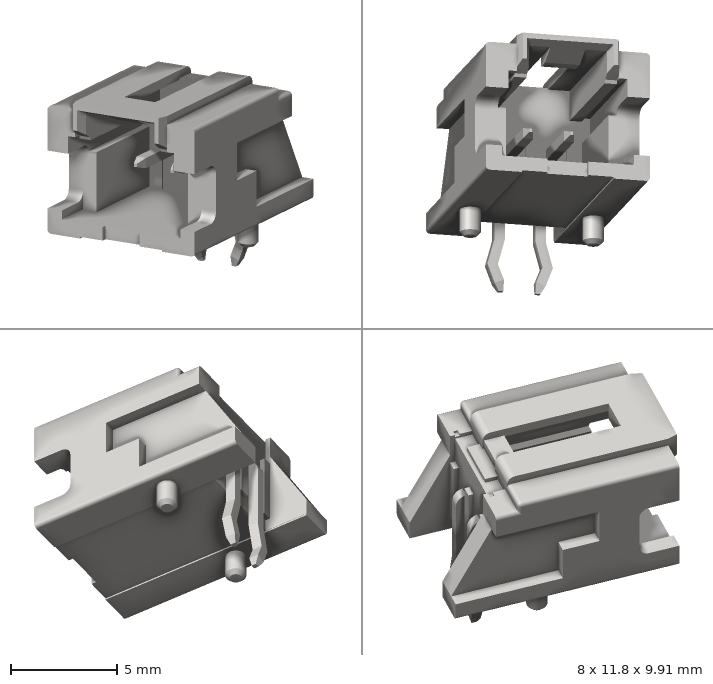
import cadquery as cq
import math


HALF_WIDTH = 4.001
LENGTH = 11.75
BODY_FRONT = 0.49
BODY_TOP = 6.7
WING_TOP = 6.27
DECK_TOP = 5.79
HOOD_REAR = 8.6
SIDE_REAR = 9.72
REAR_WALL_BACK = 9.46
SLOPE_TOP = 4.6
LEDGE_TOP = 0.99
EDGE_RADIUS = 0.2
LEG_INNER = 2.22

RECESS_DEPTH = 0.61
RECESS_LOW_FRONT = 6.36
RECESS_HIGH_FRONT = 4.51
RECESS_STEP = 2.75
NOTCH_REAR = 2.51
NOTCH_BOTTOM = 1.23
NOTCH_TOP = 4.07
NOTCH_RADIUS = 0.49
RELIEF_HALF_WIDTH = 2.23
RELIEF_HEIGHT = 0.08

HOOD_HALF_WIDTH = 2.49
LIP_HALF_WIDTH = 2.33
HOOD_REAR_RADIUS = 0.4
JAMB_FRONT_BOTTOM = 5.43
JAMB_BOTTOM = 4.94
JAMB_SLOPE_LENGTH = 0.86
JAMB_RAIL_HEIGHT = 0.16
JAMB_RAIL_LEAD = 0.065
CAVITY_BACK = 7.51
CAVITY_FLOOR = 0.74
CAVITY_CEILING = 6.23
UPPER_HALF_WIDTH = 1.9
GROOVE_HALF_WIDTH = 2.89
GROOVE_BOTTOM = 3.69
FRONT_FLOOR_HALF_WIDTH = 3.22
FLOOR_CORNER_RADIUS = 0.09
MOUTH_CHAMFER = 0.21
MOUTH_DEPTH = BODY_FRONT
FLOOR_NOTCH_HALF_WIDTH = 1.0
FLOOR_NOTCH_DEPTH = 0.25

WINDOW_HALF_WIDTH = 0.85
WINDOW_FRONT = 2.27
CATCH_BOTTOM = 5.77
SLOT_FLOOR = 6.3
SLOT_REAR = 8.53

REAR_WALL_TOP = 5.57
STEP_HALF_WIDTH = 1.22
STEP_REAR = 9.24
DECK_SLOT_DEPTH = 0.12

RIB_TOP = 4.14
RIB_FRONT = 7.41
CENTER_RIB_HALF_WIDTH = 0.27
SIDE_RIB_INNER = 1.74
SIDE_RIB_OUTER = 2.23

PIN_PITCH = 2.0
PIN_SIZE = 0.5
PIN_HEIGHT = 3.0
PIN_SHOULDER = 4.15
PIN_TIP_LENGTH = 0.56
PIN_TIP_SIZE = 0.16
BEND_RADIUS = 0.59
TAIL_CENTER_Y = 9.72
TAIL_BOTTOM = -3.21
TAIL_STRAIGHT_END = -0.7
TAIL_KINK_Z = -1.94
TAIL_KINK_SHIFT = 0.34
TAIL_TIP_INNER = 0.79
TAIL_TIP_OUTER = 1.02
TAIL_TIP_CORNER = (1.25, -2.84)
TAIL_INNER_CORNER_Z = -2.68
TAIL_TIP_THICKNESS = 0.22
PEG_DIAMETER = 1.0
PEG_X = 3.0
PEG_Y = 7.3
PEG_LENGTH = 1.3
PEG_CHAMFER = 0.2


def block(x0, x1, y0, y1, z0, z1):
    return cq.Workplane("XY").box(x1 - x0, y1 - y0, z1 - z0, centered=False).translate((x0, y0, z0))


def centered_block(half_width, y0, y1, z0, z1):
    return block(-half_width, half_width, y0, y1, z0, z1)


def side_profile(points, x0, x1):
    """Prism along X from (y, z) points."""
    return cq.Workplane("YZ").polyline(points).close().extrude(x1 - x0).translate((x0, 0, 0))


def both_sides(shape):
    return shape.union(shape.mirror("YZ"))


def make_shell():
    base = side_profile(
        [
            (BODY_FRONT, 0),
            (LENGTH, 0),
            (LENGTH, LEDGE_TOP),
            (SIDE_REAR, SLOPE_TOP),
            (BODY_FRONT, SLOPE_TOP),
        ],
        -HALF_WIDTH,
        HALF_WIDTH,
    )
    base = base.edges("|Y and <Z").fillet(EDGE_RADIUS)
    deck = centered_block(HALF_WIDTH, BODY_FRONT, SIDE_REAR, SLOPE_TOP, DECK_TOP)
    deck = deck.edges("|Y and >Z").fillet(EDGE_RADIUS)
    wings = centered_block(HALF_WIDTH, BODY_FRONT, HOOD_REAR, SLOPE_TOP, WING_TOP)
    wings = wings.edges("(|Y and >Z) or (>Y and >Z) or (>Y and |Z)").fillet(EDGE_RADIUS)
    return base.union(deck).union(wings)


def make_hood():
    hood = (
        cq.Workplane("XY")
        .polyline(
            [
                (-LIP_HALF_WIDTH, 0),
                (LIP_HALF_WIDTH, 0),
                (HOOD_HALF_WIDTH, BODY_FRONT),
                (HOOD_HALF_WIDTH, HOOD_REAR),
                (-HOOD_HALF_WIDTH, HOOD_REAR),
                (-HOOD_HALF_WIDTH, BODY_FRONT),
            ]
        )
        .close()
        .extrude(BODY_TOP - SLOPE_TOP)
        .translate((0, 0, SLOPE_TOP))
    )
    return hood.edges(">Y and >Z").fillet(HOOD_REAR_RADIUS)


def make_outer_cuts():
    recess = side_profile(
        [
            (LENGTH, LEDGE_TOP),
            (RECESS_LOW_FRONT, LEDGE_TOP),
            (RECESS_LOW_FRONT, RECESS_STEP),
            (RECESS_HIGH_FRONT, RECESS_STEP),
            (RECESS_HIGH_FRONT, SLOPE_TOP),
            (LENGTH, SLOPE_TOP),
        ],
        HALF_WIDTH - RECESS_DEPTH,
        HALF_WIDTH,
    )
    notch = centered_block(HALF_WIDTH, 0, NOTCH_REAR, NOTCH_BOTTOM, NOTCH_TOP)
    notch = notch.edges("|X and >Y").fillet(NOTCH_RADIUS)
    rear_gap = centered_block(LEG_INNER, REAR_WALL_BACK, LENGTH, 0, BODY_TOP)
    wall_step = centered_block(LEG_INNER, HOOD_REAR, REAR_WALL_BACK, REAR_WALL_TOP, BODY_TOP)
    slot_bottom = DECK_TOP - DECK_SLOT_DEPTH
    deck_slots = centered_block(HOOD_HALF_WIDTH, STEP_REAR, REAR_WALL_BACK, slot_bottom, DECK_TOP)
    wall_step = wall_step.cut(
        centered_block(STEP_HALF_WIDTH, HOOD_REAR, STEP_REAR, REAR_WALL_TOP, DECK_TOP)
    )
    relief = centered_block(RELIEF_HALF_WIDTH, BODY_FRONT, LENGTH, 0, RELIEF_HEIGHT)
    cuts = both_sides(recess)
    for tool in (notch, rear_gap, wall_step, deck_slots, relief):
        cuts = cuts.union(tool)
    return cuts


def make_cavity():
    upper = centered_block(UPPER_HALF_WIDTH, 0, CAVITY_BACK, JAMB_BOTTOM, CAVITY_CEILING)
    groove = centered_block(GROOVE_HALF_WIDTH, 0, CAVITY_BACK, GROOVE_BOTTOM, JAMB_BOTTOM)
    lower = centered_block(HOOD_HALF_WIDTH, 0, CAVITY_BACK, CAVITY_FLOOR, JAMB_BOTTOM)
    front_floor = centered_block(FRONT_FLOOR_HALF_WIDTH, 0, NOTCH_REAR, CAVITY_FLOOR, NOTCH_TOP / 2)
    front_floor = front_floor.edges("|Y and <Z").fillet(FLOOR_CORNER_RADIUS)
    jamb_slope = side_profile(
        [
            (0, GROOVE_BOTTOM),
            (0, JAMB_FRONT_BOTTOM),
            (JAMB_SLOPE_LENGTH, JAMB_BOTTOM),
            (JAMB_SLOPE_LENGTH, GROOVE_BOTTOM),
        ],
        -HOOD_HALF_WIDTH,
        HOOD_HALF_WIDTH,
    )
    lip_half_width = UPPER_HALF_WIDTH + MOUTH_CHAMFER
    mouth_sides = (
        cq.Workplane("XY")
        .polyline(
            [
                (-lip_half_width, 0),
                (lip_half_width, 0),
                (UPPER_HALF_WIDTH, MOUTH_DEPTH),
                (-UPPER_HALF_WIDTH, MOUTH_DEPTH),
            ]
        )
        .close()
        .extrude(BODY_TOP - GROOVE_BOTTOM)
        .translate((0, 0, GROOVE_BOTTOM))
    )
    mouth_roof = side_profile(
        [
            (0, GROOVE_BOTTOM),
            (0, CAVITY_CEILING + MOUTH_CHAMFER),
            (MOUTH_DEPTH, CAVITY_CEILING),
            (MOUTH_DEPTH, GROOVE_BOTTOM),
        ],
        -lip_half_width,
        lip_half_width,
    )
    cavity = upper.union(mouth_sides.intersect(mouth_roof))
    for tool in (groove, lower, front_floor, jamb_slope):
        cavity = cavity.union(tool)
    return cavity


def make_catch():
    """Latch catch under the roof; its ramp continues the slope of the mouth."""
    ramp_length = (CAVITY_CEILING - CATCH_BOTTOM) * MOUTH_DEPTH / MOUTH_CHAMFER
    return side_profile(
        [
            (MOUTH_DEPTH, CAVITY_CEILING),
            (MOUTH_DEPTH + ramp_length, CATCH_BOTTOM),
            (WINDOW_FRONT, CATCH_BOTTOM),
            (WINDOW_FRONT, CAVITY_CEILING),
        ],
        -WINDOW_HALF_WIDTH,
        WINDOW_HALF_WIDTH,
    )


def make_jamb_rail():
    return side_profile(
        [
            (JAMB_SLOPE_LENGTH, JAMB_BOTTOM),
            (JAMB_SLOPE_LENGTH + JAMB_RAIL_LEAD, JAMB_BOTTOM - JAMB_RAIL_HEIGHT),
            (CAVITY_BACK, JAMB_BOTTOM - JAMB_RAIL_HEIGHT),
            (CAVITY_BACK, JAMB_BOTTOM),
        ],
        UPPER_HALF_WIDTH,
        HOOD_HALF_WIDTH,
    )


def make_roof_openings():
    window = centered_block(WINDOW_HALF_WIDTH, WINDOW_FRONT, CAVITY_BACK, JAMB_BOTTOM, BODY_TOP)
    slot = centered_block(WINDOW_HALF_WIDTH, CAVITY_BACK, HOOD_REAR, SLOT_FLOOR, BODY_TOP)
    setback = centered_block(WINDOW_HALF_WIDTH, SLOT_REAR, HOOD_REAR, DECK_TOP, BODY_TOP)
    return window.union(slot).union(setback)


def make_ribs():
    center = centered_block(CENTER_RIB_HALF_WIDTH, RIB_FRONT, SIDE_REAR, CAVITY_FLOOR, RIB_TOP)
    side = block(SIDE_RIB_INNER, SIDE_RIB_OUTER, RIB_FRONT, SIDE_REAR, CAVITY_FLOOR, RIB_TOP)
    return center.union(both_sides(side))


def make_peg():
    peg = cq.Workplane("XY").circle(PEG_DIAMETER / 2).extrude(-PEG_LENGTH)
    return peg.faces("<Z").chamfer(PEG_CHAMFER).translate((PEG_X, PEG_Y, 0))


def make_tail(center_x):
    """Kinked solder tail whose tip tapers in thickness, square to its lower leg."""
    half = PIN_SIZE / 2
    front = TAIL_CENTER_Y - half
    inner = center_x - half
    outer = center_x + half
    tail = (
        cq.Workplane("XZ")
        .polyline(
            [
                (inner, 0),
                (inner, TAIL_STRAIGHT_END),
                (inner + TAIL_KINK_SHIFT, TAIL_KINK_Z),
                (TAIL_TIP_INNER, TAIL_INNER_CORNER_Z),
                (TAIL_TIP_INNER, TAIL_BOTTOM),
                (TAIL_TIP_OUTER, TAIL_BOTTOM),
                TAIL_TIP_CORNER,
                (outer + TAIL_KINK_SHIFT, TAIL_KINK_Z),
                (outer, TAIL_STRAIGHT_END),
                (outer, 0),
            ]
        )
        .close()
        .extrude(-PIN_SIZE)
        .translate((0, front, 0))
    )
    corner_x, corner_z = TAIL_TIP_CORNER
    lean = math.atan2(outer + TAIL_KINK_SHIFT - corner_x, TAIL_KINK_Z - corner_z)
    tip_length = (corner_z - TAIL_BOTTOM) * math.cos(lean) + (corner_x - TAIL_TIP_INNER) * math.sin(lean)
    taper = side_profile(
        [
            (-half, 0),
            (-half, -tip_length),
            (-TAIL_TIP_THICKNESS / 2, -tip_length),
        ],
        -PIN_SIZE * 2,
        PIN_SIZE * 2,
    )
    taper = taper.union(taper.mirror("XZ"))
    taper = taper.rotate((0, 0, 0), (0, 1, 0), math.degrees(lean))
    return tail.cut(taper.translate((corner_x, TAIL_CENTER_Y, corner_z)))


def make_terminal():
    """Right-angle terminal at +X with a pointed contact and a kinked tail."""
    half = PIN_SIZE / 2
    center_x = PIN_PITCH / 2
    sides = (center_x - half, center_x + half)
    tail_back = TAIL_CENTER_Y + half
    contact = block(*sides, PIN_SHOULDER, tail_back, PIN_HEIGHT - half, PIN_HEIGHT + half)
    drop = block(*sides, tail_back - PIN_SIZE, tail_back, 0, PIN_HEIGHT)
    bent_pin = contact.union(drop).edges(">Y and >Z").fillet(BEND_RADIUS)
    tip = (
        cq.Workplane("XZ", origin=(center_x, PIN_SHOULDER, PIN_HEIGHT))
        .rect(PIN_SIZE, PIN_SIZE)
        .workplane(offset=PIN_TIP_LENGTH)
        .rect(PIN_TIP_SIZE, PIN_TIP_SIZE)
        .loft(combine=True)
    )
    return bent_pin.union(tip).union(make_tail(center_x))


def make_floor_notch():
    return centered_block(FLOOR_NOTCH_HALF_WIDTH, 0, BODY_FRONT + FLOOR_NOTCH_DEPTH, 0, CAVITY_FLOOR)


housing = make_shell().union(make_hood())
housing = housing.cut(make_outer_cuts()).cut(make_cavity()).cut(make_floor_notch())
housing = housing.union(make_catch()).union(both_sides(make_jamb_rail()))
housing = housing.cut(make_roof_openings())
result = housing.union(make_ribs()).union(both_sides(make_peg())).union(both_sides(make_terminal()))